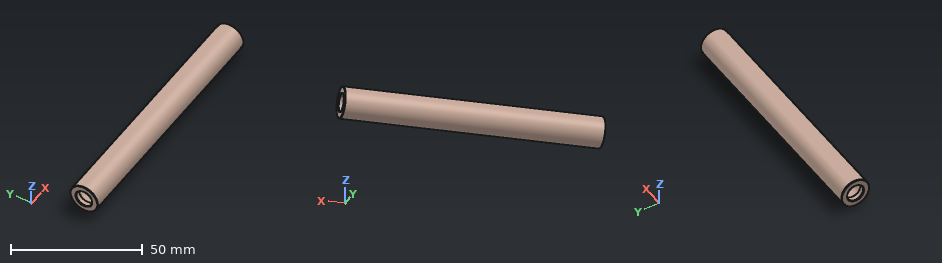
import cadquery as cq

length = 103.1
outer_diameter = 12.5
bore_diameter = 7.0

outer_chamfer = 0.25
bore_chamfer = 0.3

undercut_start = 2.4
undercut_width = 8.2
undercut_depth = 1.0

bore_radius = bore_diameter / 2


def make_cylinder(diameter):
    """Cylinder along X, as long as the tube."""
    return cq.Workplane("YZ").circle(diameter / 2).extrude(length)


def make_tube():
    """Through-bored tube with chamfered rims at both ends."""
    body = make_cylinder(outer_diameter).faces("<X or >X").edges().chamfer(outer_chamfer)
    tube = body.cut(make_cylinder(bore_diameter))
    bore_rims = tube.faces("<X or >X").edges(cq.selectors.RadiusNthSelector(0))
    return bore_rims.chamfer(bore_chamfer)


def make_undercut():
    """Solid of revolution about X that widens the bore with one arc."""
    undercut_end = undercut_start + undercut_width
    deepest_point = (undercut_start + undercut_width / 2, bore_radius + undercut_depth)
    profile = (
        cq.Workplane("XY")
        .moveTo(undercut_start, 0)
        .lineTo(undercut_start, bore_radius)
        .threePointArc(deepest_point, (undercut_end, bore_radius))
        .lineTo(undercut_end, 0)
        .close()
    )
    return profile.revolve(360, (0, 0, 0), (1, 0, 0))


result = make_tube().cut(make_undercut())